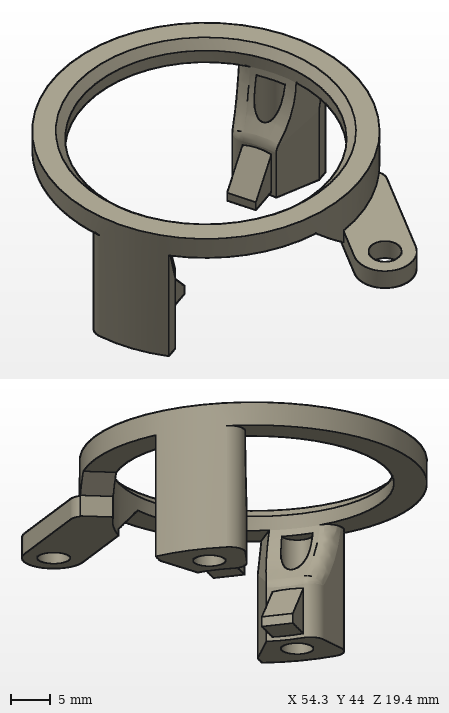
import cadquery as cq
import math

overall_length = 54.3
height = 19.4
ring_thickness = 3.1
outer_radius = 22.0
bore_radius = 35.6 / 2
bore_chamfer = 1.2
ring_bottom = height - ring_thickness

leg_inner_radius = 13.95
leg_half_width = 5.9
flank_slope = 0.28
inner_corner_x = 2.8
inner_flank_slope = 0.54
leg_round = 2.0
lip_height = 7.95
scoop_middle = (16.45, 11.85)
bevel_top_x = 3.7
bevel_angle = -57
leg_hole_diameter = 4.1
leg_hole_y = -17.5
leg_hole_top = 15.3

hook_width = 4.1
hook_tip_y = -9.6
hook_root_y = -14.65
hook_bottom = 0.55
hook_tip_top = 1.85
hook_rise = 1.14

arm_bottom = 11.15
arm_top = 13.9
arm_half_width = 4.0
arm_hole_diameter = 4.2
arm_hole_x = overall_length - outer_radius - arm_half_width
arm_hole_y = -4.95
arm_angle = 132.7
arm_end_angle = 24.3
arm_corner_round = 2.0
side_flare_start = 12.0


def disc(radius, bottom, top):
    return cq.Workplane("XY").workplane(offset=bottom).circle(radius).extrude(top - bottom)


def direction(angle):
    return cq.Vector(math.cos(math.radians(angle)), math.sin(math.radians(angle)), 0)


def make_ring():
    ring = disc(outer_radius, ring_bottom, height).cut(disc(bore_radius, ring_bottom, height))
    bore_edge = cq.selectors.RadiusNthSelector(0)
    return ring.faces(">Z").edges(bore_edge).chamfer(bore_chamfer)


def make_scoop():
    """Space inside the legs: a cylinder that widens along an arc up to the bore."""
    return (
        cq.Workplane("XZ")
        .lineTo(leg_inner_radius, 0)
        .lineTo(leg_inner_radius, lip_height)
        .threePointArc(scoop_middle, (bore_radius, ring_bottom))
        .lineTo(0, ring_bottom)
        .close()
        .revolve(360, (0, 0), (0, 1))
    )


def make_hook():
    root_top = hook_tip_top + hook_rise * (hook_tip_y - hook_root_y)
    profile = [
        (hook_tip_y, hook_bottom),
        (hook_tip_y, hook_tip_top),
        (hook_root_y, root_top),
        (hook_root_y, hook_bottom),
    ]
    return cq.Workplane("YZ").polyline(profile).close().extrude(hook_width / 2, both=True)


def make_bevel(lip_corner):
    """Space above the sloping bevel that widens upward along the scoop's right edge."""
    bevel_top_y = -math.sqrt(bore_radius**2 - bevel_top_x**2)
    upward = cq.Vector(bevel_top_x, bevel_top_y, ring_bottom) - lip_corner
    plane = cq.Plane(lip_corner, upward, upward.cross(direction(bevel_angle)))
    return cq.Workplane(plane).rect(2 * height, 2 * height).extrude(height)


def make_leg():
    """Leg on the -Y side, with its hook."""
    outer_y = -math.sqrt(outer_radius**2 - leg_half_width**2)
    left_axis_x = leg_half_width + flank_slope * outer_y
    inner_corner_y = -math.sqrt(leg_inner_radius**2 - inner_corner_x**2)
    bend_y = inner_corner_y - (leg_half_width - inner_corner_x) / inner_flank_slope
    leg = (
        cq.Workplane("XY")
        .moveTo(-left_axis_x - flank_slope * outer_radius, -outer_radius)
        .lineTo(leg_half_width, -outer_radius)
        .lineTo(leg_half_width, bend_y)
        .lineTo(inner_corner_x, inner_corner_y)
        .lineTo(0, 0)
        .lineTo(-left_axis_x, 0)
        .close()
        .extrude(ring_bottom)
        .intersect(disc(outer_radius, 0, ring_bottom))
        .cut(make_scoop())
    )
    leg = leg.edges("|Z").edges("<Y").edges("<X").fillet(leg_round)
    edge_margin = 0.55
    inner_edges = cq.selectors.BoxSelector(
        (-leg_half_width, -bore_radius, edge_margin), (inner_corner_x / 2, 0, ring_bottom - edge_margin)
    )
    leg = leg.edges(inner_edges).edges(">Y or (not |Z)").fillet(leg_round)

    leg = leg.cut(make_bevel(cq.Vector(inner_corner_x, inner_corner_y, lip_height)))
    hole = disc(leg_hole_diameter / 2, 0, leg_hole_top).translate((0, leg_hole_y, 0))
    return leg.cut(hole).union(make_hook())


def make_flare(edge_point, outward_angle, start):
    """Long slab bounded by an upright face that leans outward at 45 degrees above `start`."""
    outward = direction(outward_angle)
    reach = 2 * outer_radius
    plane = cq.Plane(edge_point, outward, outward.cross(cq.Vector(0, 0, 1)))
    profile = [
        (-reach, arm_bottom),
        (0, arm_bottom),
        (0, start),
        (ring_bottom - start, ring_bottom),
        (-reach, ring_bottom),
    ]
    return cq.Workplane(plane).polyline(profile).close().extrude(reach, both=True)


def make_arm():
    hole_centre = cq.Vector(arm_hole_x, arm_hole_y, 0)
    back = direction(arm_angle)
    to_side = direction(arm_angle + 90) * arm_half_width
    near_side = hole_centre + to_side
    far_side = hole_centre - to_side

    end_normal = direction(arm_end_angle + 90)
    corner = far_side - back * (far_side.dot(end_normal) / back.dot(end_normal))
    near_end = near_side + back * (4 * arm_half_width)
    inner_end = direction(arm_end_angle) * (bore_radius - arm_half_width)
    outline = [near_side, far_side, corner, inner_end, near_end]
    plate = (
        cq.Workplane("XY")
        .workplane(offset=arm_bottom)
        .polyline([point.toTuple()[:2] for point in outline])
        .close()
        .extrude(arm_top - arm_bottom)
    )
    corner_edge = cq.selectors.NearestToPointSelector((corner.x, corner.y, (arm_bottom + arm_top) / 2))
    plate = plate.edges(corner_edge).fillet(arm_corner_round)
    plate = plate.union(disc(arm_half_width, arm_bottom, arm_top).translate(hole_centre))

    gusset = (
        disc(outer_radius, arm_bottom, ring_bottom)
        .intersect(make_flare(near_side, arm_angle + 90, side_flare_start))
        .intersect(make_flare(cq.Vector(0, 0, 0), arm_end_angle + 90, arm_top))
    )
    hole = disc(arm_hole_diameter / 2, arm_bottom, arm_top).translate(hole_centre)
    return plate.union(gusset).cut(disc(bore_radius, arm_bottom, ring_bottom)).cut(hole)


leg = make_leg()
result = make_ring().union(leg).union(leg.mirror("XZ")).union(make_arm())